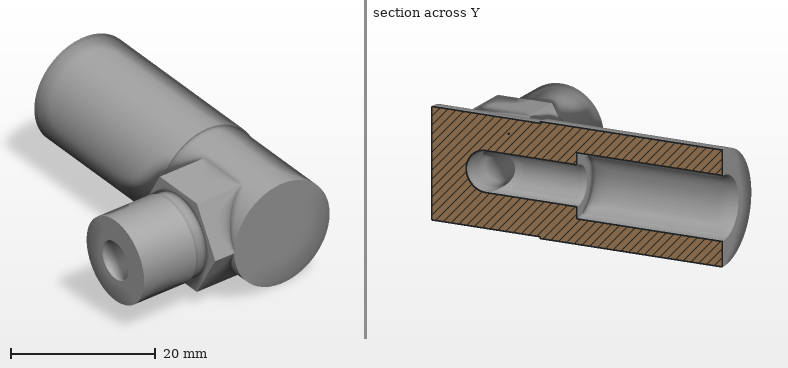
import cadquery as cq

total_length = 45.5
sleeve_diameter = 17.0
sleeve_length = 28.55
elbow_length = total_length - sleeve_length
elbow_diameter = 16.5

branch_x = sleeve_length + elbow_length / 2
hex_across_corners = 16.93
hex_face_reach = 11.55
neck_diameter = 12.7
neck_length = 1.9
spigot_diameter = 13.2
branch_reach = 22.48

bore_diameter = 6.0
socket_diameter = 9.5
socket_depth = 22.75


def rod_along_x(diameter, start, length):
    return cq.Workplane("YZ", origin=(start, 0, 0)).circle(diameter / 2).extrude(length)


def branch_plane(reach):
    """Workplane across the branch at a distance from the main axis, facing -Y."""
    return cq.Workplane("XZ", origin=(branch_x, -reach, 0))


def rod_along_branch(diameter, start, length):
    return branch_plane(start).circle(diameter / 2).extrude(length)


sleeve = rod_along_x(sleeve_diameter, 0, sleeve_length)
elbow = rod_along_x(elbow_diameter, sleeve_length, elbow_length)

hexagon = branch_plane(0).polygon(6, hex_across_corners).extrude(hex_face_reach)
neck_end = hex_face_reach + neck_length
neck = rod_along_branch(neck_diameter, hex_face_reach, neck_length)
spigot = rod_along_branch(spigot_diameter, neck_end, branch_reach - neck_end)

bore_path = cq.Workplane("XY").polyline([(0, 0), (branch_x, 0), (branch_x, -branch_reach)])
bore = cq.Workplane("YZ").circle(bore_diameter / 2).sweep(bore_path, transition="right")
socket = rod_along_x(socket_diameter, 0, socket_depth)

result = sleeve.union(elbow).union(hexagon).union(neck).union(spigot).cut(bore).cut(socket)